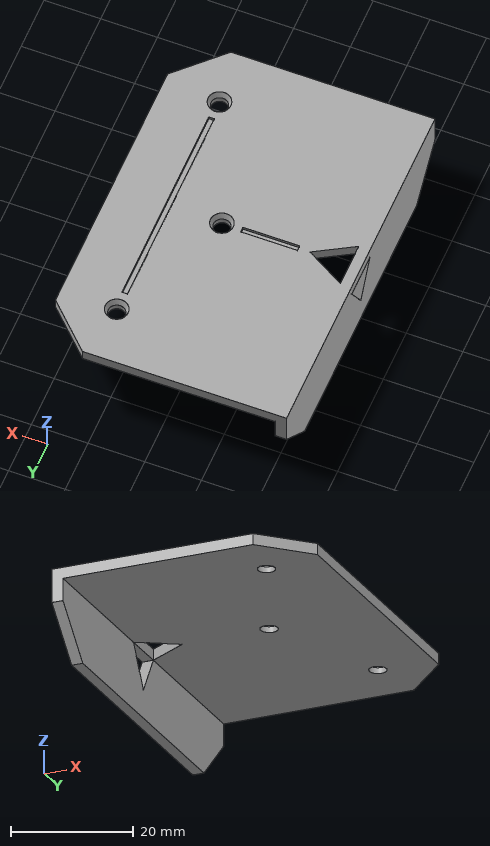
import cadquery as cq
import math

length = 65.0
plate_width = 44.0
height = 14.0
thickness = 2.0
corner_cut = 8.0

window_side = 8.0
window_height = window_side * math.sqrt(3) / 2

hole_diameter = 3.0
countersink_diameter = 4.0
countersink_depth = 1.0
single_hole_x = 24.5
hole_pair_x = 34.0
hole_pair_spacing = 45.0
hole_positions = [
    (single_hole_x, 0),
    (hole_pair_x, hole_pair_spacing / 2),
    (hole_pair_x, -hole_pair_spacing / 2),
]

groove_width = 1.0
groove_depth = 0.5
short_groove_length = 10.0
short_groove_x = 16.0
long_groove_length = 38.0


def make_plate():
    """Top plate with its top face at Z = 0 and its two +X corners cut off."""
    plate = cq.Workplane("XY").box(plate_width, length, thickness, centered=(False, True, False))
    plate = plate.translate((0, 0, -thickness))
    return plate.edges("|Z and >X").chamfer(corner_cut)


def make_wall():
    """Hanging wall with its outer face at X = 0 and its two lower corners cut off."""
    wall = cq.Workplane("XY").box(thickness, length, height, centered=(False, True, False))
    wall = wall.translate((0, 0, -height))
    return wall.edges("|X and <Z").chamfer(corner_cut)


def window_outline(plane, base, tip):
    """Closed triangle on the given plane, its base parallel to Y and its tip at Y = 0."""
    corners = [(base, -window_side / 2), (base, window_side / 2), (tip, 0)]
    return cq.Workplane(plane).polyline(corners).close()


def make_plate_window():
    """Cutter through the plate, pointing toward +X."""
    return window_outline("XY", thickness, thickness + window_height).extrude(-thickness)


def make_wall_window():
    """Cutter through the wall, pointing down."""
    wall_plane = cq.Plane(origin=(0, 0, 0), xDir=(0, 0, -1), normal=(1, 0, 0))
    return window_outline(wall_plane, thickness, thickness + window_height).extrude(thickness)


def make_hole():
    """Cutter for one through hole with a conical mouth at the top face."""
    profile = [
        (0, 0),
        (countersink_diameter / 2, 0),
        (hole_diameter / 2, -countersink_depth),
        (hole_diameter / 2, -thickness),
        (0, -thickness),
    ]
    return cq.Workplane("XZ").polyline(profile).close().revolve(360, (0, 0), (0, 1))


def make_groove(center_x, size_x, size_y):
    """Cutter for one groove sunk into the top face and centred on Y = 0."""
    return cq.Workplane("XY").center(center_x, 0).rect(size_x, size_y).extrude(-groove_depth)


result = make_plate().union(make_wall())
result = result.cut(make_plate_window()).cut(make_wall_window())
for x, y in hole_positions:
    result = result.cut(make_hole().translate((x, y, 0)))
result = result.cut(make_groove(short_groove_x, short_groove_length, groove_width))
result = result.cut(make_groove(hole_pair_x, groove_width, long_groove_length))